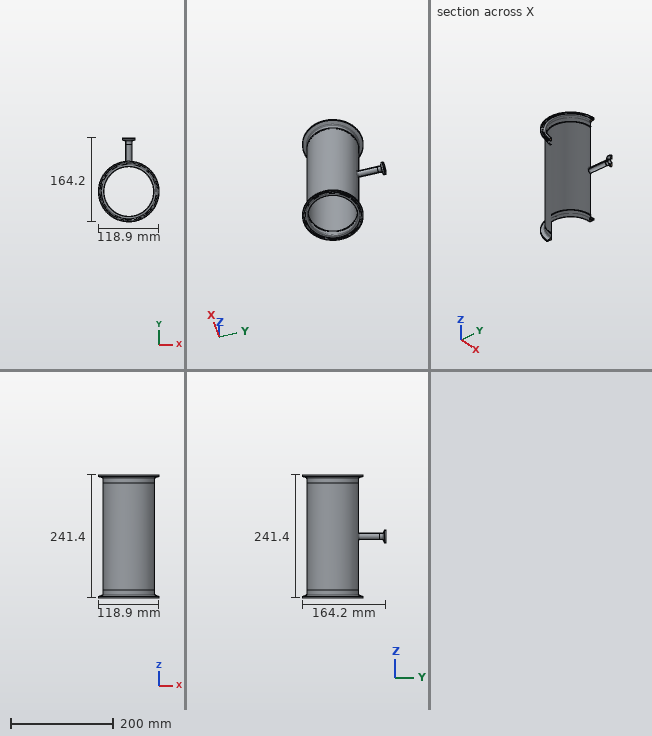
import cadquery as cq
import math

overall_height = 241.4

tube_od = 101.6
tube_wall = 2.11
main_flange_od = 118.92
main_ferrule_length = 16.2
main_rim_thickness = 2.9
main_neck_fillet = 2.0
groove_center_radius = 55.0
groove_half_width = 1.4
groove_depth = 1.2
face_edge_fillet = 0.5

branch_od = 12.7
branch_wall = 1.65
branch_reach = 104.78
branch_flange_od = 25.0
branch_ferrule_length = 12.7
branch_rim_thickness = 3.6
branch_neck_fillet = 0.8
branch_weld_fillet = 1.5

flange_taper = math.radians(20)

tube_radius = tube_od / 2
tube_bore_radius = tube_radius - tube_wall
tube_length = overall_height - 2 * main_ferrule_length
branch_radius = branch_od / 2
branch_bore_radius = branch_radius - branch_wall
branch_end = branch_reach - branch_ferrule_length


def make_ferrule(outer_radius, bore_radius, flange_radius, length, rim_thickness, neck_fillet):
    """Clamp ferrule along Z: plain tube end at z = 0, flange face at z = length."""
    rim_bottom = length - rim_thickness
    taper_bottom = rim_bottom - (flange_radius - outer_radius) * math.tan(flange_taper)

    tangent_length = neck_fillet * math.tan((math.pi / 2 - flange_taper) / 2)
    fillet_center_x = outer_radius + neck_fillet
    fillet_start_z = taper_bottom - tangent_length
    fillet_end = (
        outer_radius + tangent_length * math.cos(flange_taper),
        taper_bottom + tangent_length * math.sin(flange_taper),
    )
    mid_angle = math.pi - (math.pi / 2 - flange_taper) / 2
    fillet_middle = (
        fillet_center_x + neck_fillet * math.cos(mid_angle),
        fillet_start_z + neck_fillet * math.sin(mid_angle),
    )
    profile = (
        cq.Workplane("XZ")
        .moveTo(bore_radius, 0)
        .lineTo(outer_radius, 0)
        .lineTo(outer_radius, fillet_start_z)
        .threePointArc(fillet_middle, fillet_end)
        .lineTo(flange_radius, rim_bottom)
        .lineTo(flange_radius, length)
        .lineTo(bore_radius, length)
        .close()
    )
    return profile.revolve(360, (0, 0, 0), (0, 1, 0))


def make_gasket_groove(face_z):
    """Ring with an arc-shaped section, sunk into a flange face at face_z."""
    profile = (
        cq.Workplane("XZ")
        .moveTo(groove_center_radius - groove_half_width, face_z)
        .threePointArc(
            (groove_center_radius, face_z - groove_depth),
            (groove_center_radius + groove_half_width, face_z),
        )
        .close()
    )
    return profile.revolve(360, (0, 0, 0), (0, 1, 0))


def is_inside_rim(edge):
    """True for a circular edge that is smaller than the main flange rim."""
    return edge.radius() < groove_center_radius + 2 * groove_half_width


def make_main_ferrule():
    """Large ferrule with a gasket groove, placed on the upper end of the tube."""
    ferrule = make_ferrule(
        tube_radius,
        tube_bore_radius,
        main_flange_od / 2,
        main_ferrule_length,
        main_rim_thickness,
        main_neck_fillet,
    )
    ferrule = ferrule.cut(make_gasket_groove(main_ferrule_length))
    face_edges = ferrule.faces(">Z").edges()
    ferrule = face_edges.filter(is_inside_rim).fillet(face_edge_fillet)
    return ferrule.translate((0, 0, tube_length / 2))


def make_branch_ferrule():
    """Small ferrule on the outer end of the branch, flange facing +Y."""
    ferrule = make_ferrule(
        branch_radius,
        branch_bore_radius,
        branch_flange_od / 2,
        branch_ferrule_length,
        branch_rim_thickness,
        branch_neck_fillet,
    )
    return ferrule.rotate((0, 0, 0), (1, 0, 0), -90).translate((0, branch_end, 0))


def make_branch_cylinder(radius):
    """Solid cylinder along +Y from the tube axis to the end of the branch pipe."""
    return cq.Workplane("XZ").circle(radius).extrude(-branch_end)


def make_tube():
    """Main tube with the branch pipe welded to its side, open into the bore."""
    outside = cq.Workplane("XY").circle(tube_radius).extrude(tube_length / 2, both=True)
    outside = outside.union(make_branch_cylinder(branch_radius))
    weld_corner = cq.selectors.BoxSelector(
        (-branch_od, tube_radius - branch_radius, -branch_od),
        (branch_od, tube_radius + branch_radius, branch_od),
        boundingbox=True,
    )
    outside = outside.edges(weld_corner).fillet(branch_weld_fillet)
    bore = cq.Workplane("XY").circle(tube_bore_radius).extrude(tube_length / 2, both=True)
    return outside.cut(bore).cut(make_branch_cylinder(branch_bore_radius))


tube = make_tube()
main_ferrules = [
    make_main_ferrule().rotate((0, 0, 0), (1, 0, 0), turn)
    for turn in (0, 180)
]
branch_ferrule = make_branch_ferrule()

result = cq.Compound.makeCompound(
    [
        tube.val(),
        *[ferrule.val() for ferrule in main_ferrules],
        branch_ferrule.val(),
    ]
)